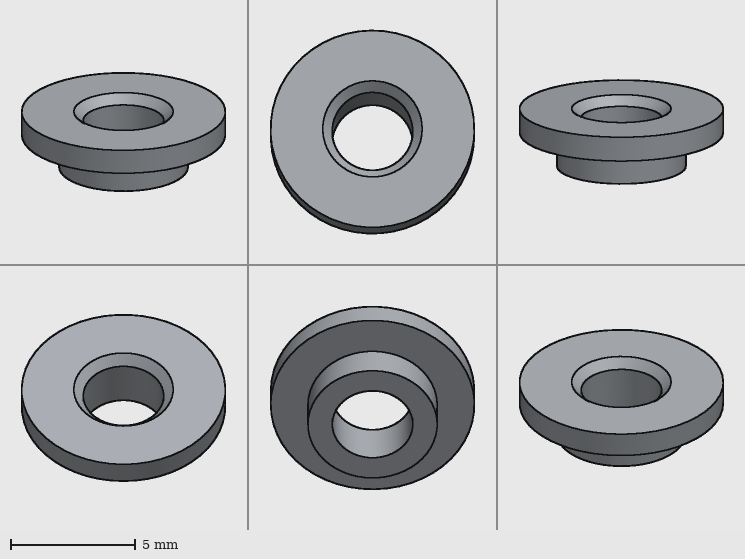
import cadquery as cq

flange_diameter = 8.2
flange_thickness = 1.0
sleeve_diameter = 5.2
sleeve_length = 1.4
bore_diameter = 3.24
countersink_diameter = 4.0

total_height = sleeve_length + flange_thickness
countersink_size = (countersink_diameter - bore_diameter) / 2


def make_body():
    """Sleeve standing on Z = 0 with the wider flange above it."""
    sleeve = cq.Workplane("XY").circle(sleeve_diameter / 2).extrude(sleeve_length)
    return sleeve.faces(">Z").workplane().circle(flange_diameter / 2).extrude(flange_thickness)


def make_bore():
    """Through bore that widens conically at the flange face."""
    bore_radius = bore_diameter / 2
    profile = (
        cq.Workplane("XZ")
        .lineTo(bore_radius, 0)
        .lineTo(bore_radius, total_height - countersink_size)
        .lineTo(countersink_diameter / 2, total_height)
        .lineTo(0, total_height)
        .close()
    )
    return profile.revolve(360, (0, 0, 0), (0, 1, 0))


result = make_body().cut(make_bore())